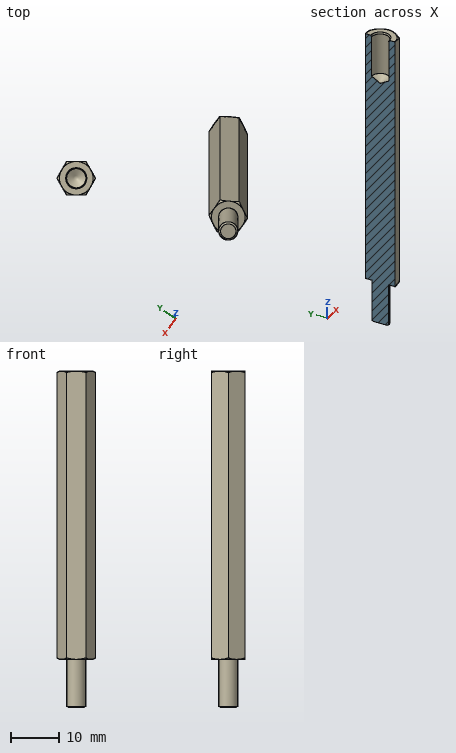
import cadquery as cq
import math

across_flats = 7.0
body_length = 60.0
across_corners = across_flats / math.cos(math.radians(30))
end_face_diameter = across_flats
end_bevel_angle = 30.0

stud_diameter = 4.0
stud_length = 10.0
stud_chamfer_width = 0.4
stud_chamfer_angle = 30.0
stud_chamfer_height = stud_chamfer_width * math.tan(math.radians(stud_chamfer_angle))

bore_diameter = 4.0
bore_depth = 10.0
bore_mouth_diameter = 4.4
bore_mouth_angle = 60.0
drill_point_angle = 120.0


def cone_height(radius_change, included_angle):
    """Axial height of a cone with the given included angle over a change of radius."""
    return radius_change / math.tan(math.radians(included_angle / 2))


def revolved(points):
    """Solid of revolution about Z from a closed (radius, height) outline."""
    return cq.Workplane("XZ").polyline(points).close().revolve(360, (0, 0, 0), (0, 1, 0))


def bevel_envelope():
    """Turned blank whose conical ends trim the corners of the hexagon."""
    face_radius = end_face_diameter / 2
    outer_radius = across_corners / 2
    bevel_height = (outer_radius - face_radius) * math.tan(math.radians(end_bevel_angle))
    return revolved([
        (0, 0),
        (face_radius, 0),
        (outer_radius, bevel_height),
        (outer_radius, body_length - bevel_height),
        (face_radius, body_length),
        (0, body_length),
    ])


def hex_body():
    """Hexagonal bar with two corners on the X axis and bevelled ends."""
    bar = cq.Workplane("XY").polygon(6, across_corners).extrude(body_length)
    return bar.intersect(bevel_envelope())


def stud():
    """Stud hanging below the body, chamfered at its tip."""
    stud_radius = stud_diameter / 2
    return revolved([
        (0, 0),
        (stud_radius, 0),
        (stud_radius, stud_chamfer_height - stud_length),
        (stud_radius - stud_chamfer_width, -stud_length),
        (0, -stud_length),
    ])


def bore():
    """Drilled hole with a countersunk mouth and a conical bottom."""
    bore_radius = bore_diameter / 2
    mouth_radius = bore_mouth_diameter / 2
    mouth_depth = cone_height(mouth_radius - bore_radius, bore_mouth_angle)
    bore_floor = body_length - bore_depth
    return revolved([
        (0, body_length),
        (mouth_radius, body_length),
        (bore_radius, body_length - mouth_depth),
        (bore_radius, bore_floor),
        (0, bore_floor - cone_height(bore_radius, drill_point_angle)),
    ])


result = hex_body().union(stud()).cut(bore())